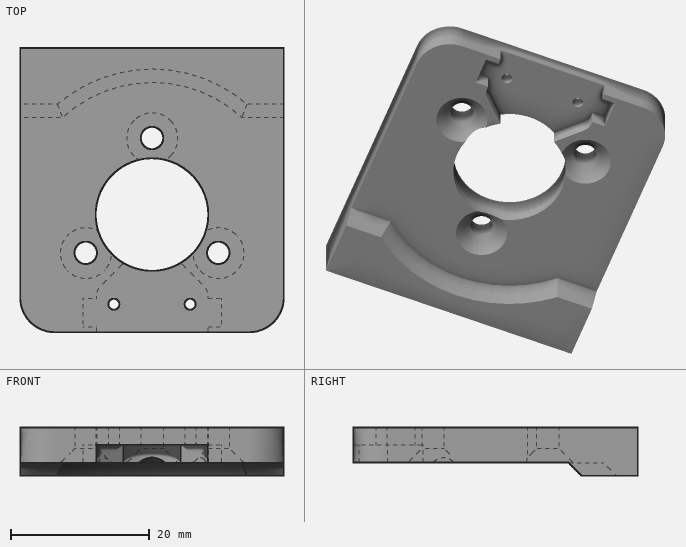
import cadquery as cq
import math

width = 38.0
length = 41.0
height = 7.0
corner_radius = 5.0

step_height = 1.93
rear_block_depth = 8.08
relief_radius = 19.05

bore_diameter = 16.2
bore_y = 16.97
screw_diameter = 3.2
screw_circle_radius = 11.03
screw_angles = (90, 210, 330)
countersink_diameter = 7.35

pin_hole_diameter = 1.55
pin_hole_spacing = 11.0
pin_hole_y = 4.05

pocket_width = 16.1
pocket_height = 2.6
pocket_mouth_width = 8.3
pocket_bend_radius = 2.1

recess_width = 20.0
recess_depth = 4.1
lip_thickness = 0.8


def make_body():
    """Plate with a thick rear block and a 45 degree step between them."""
    block_front_y = length - rear_block_depth
    profile = [
        (0, step_height),
        (block_front_y - step_height, step_height),
        (block_front_y, 0),
        (length, 0),
        (length, height),
        (0, height),
    ]
    body = cq.Workplane("YZ").polyline(profile).close().extrude(width / 2, both=True)
    return body.edges("|Z and <Y").fillet(corner_radius)


def vertical_cone(x, y, z, radius, cone_height):
    """Cone that narrows upward at 45 degrees from the given level."""
    top_radius = radius - cone_height
    return cq.Workplane(cq.Solid.makeCone(radius, top_radius, cone_height, cq.Vector(x, y, z)))


def make_relief():
    """Conical clearance under the plate that hollows the front of the rear block."""
    return vertical_cone(0, bore_y, 0, relief_radius + step_height, step_height)


def make_bore():
    return cq.Workplane("XY").center(0, bore_y).circle(bore_diameter / 2).extrude(height)


def make_screw_holes():
    """Through holes with 90 degree countersinks in the plate underside."""
    cone_height = (countersink_diameter - screw_diameter) / 2
    holes = cq.Workplane("XY")
    for angle in screw_angles:
        x = screw_circle_radius * math.cos(math.radians(angle))
        y = bore_y + screw_circle_radius * math.sin(math.radians(angle))
        shaft = cq.Workplane("XY", origin=(x, y, step_height)).circle(screw_diameter / 2).extrude(height)
        cone = vertical_cone(x, y, step_height, countersink_diameter / 2, cone_height)
        holes = holes.add(shaft.union(cone))
    return holes.combine()


def make_pin_holes():
    centers = [(side * pin_hole_spacing / 2, pin_hole_y) for side in (-1, 1)]
    return cq.Workplane("XY").pushPoints(centers).circle(pin_hole_diameter / 2).extrude(height)


def make_pocket():
    """Pocket open at the front edge, with rounded bends ahead of its slanted walls."""
    half_width = pocket_width / 2
    half_mouth = pocket_mouth_width / 2
    mouth_y = bore_y - math.sqrt((bore_diameter / 2) ** 2 - half_mouth ** 2)
    bend_y = mouth_y - (half_width - half_mouth)
    outline = [
        (-half_width, 0),
        (half_width, 0),
        (half_width, bend_y),
        (half_mouth, mouth_y),
        (-half_mouth, mouth_y),
        (-half_width, bend_y),
    ]
    underside = cq.Workplane("XY").workplane(offset=step_height)
    pocket = underside.polyline(outline).close().extrude(pocket_height)
    bends = cq.selectors.BoxSelector(
        (-width, bend_y - 0.4, 0), (width, bend_y + 0.4, height)
    )
    return pocket.edges("|Z").edges(bends).fillet(pocket_bend_radius)


def make_recess():
    """Crosswise rectangular recess, as high as the pocket."""
    return (
        cq.Workplane("XY", origin=(0, lip_thickness + recess_depth / 2, step_height))
        .rect(recess_width, recess_depth)
        .extrude(pocket_height)
    )


result = (
    make_body()
    .cut(make_relief())
    .cut(make_bore())
    .cut(make_screw_holes())
    .cut(make_pin_holes())
    .cut(make_pocket())
    .cut(make_recess())
)